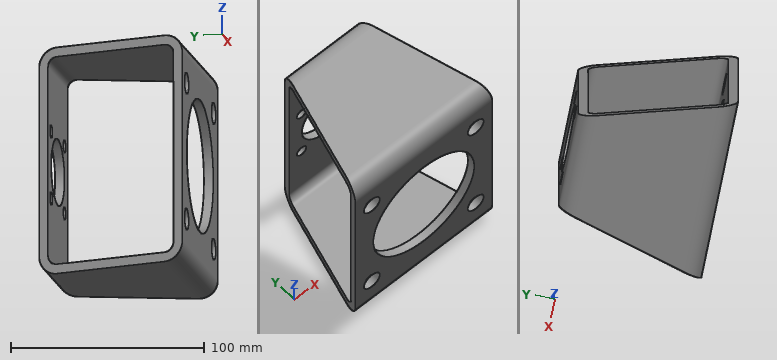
import cadquery as cq

DEPTH = 80.0
HEIGHT = 120.0
WALL = 5.0
OUTER_RADIUS = 10.0
INNER_RADIUS = OUTER_RADIUS - WALL

FRONT_WIDTH = 95.0
BACK_WIDTH = 50.0

FRONT_BORE = 70.0
FRONT_BOLT_HOLE = 11.0
FRONT_BOLT_SPACING = 72.0
BACK_BORE = 35.0
BACK_BOLT_HOLE = 6.5
BACK_BOLT_SPACING = 35.5

FRONT_FACE_Y = -DEPTH / 2
BACK_FACE_Y = DEPTH / 2


def rounded_bar(depth, height, radius):
    """Solid bar along X with its four long edges rounded."""
    return cq.Workplane("XY").box(FRONT_WIDTH, depth, height).edges("|X").fillet(radius)


def tube():
    outside = rounded_bar(DEPTH, HEIGHT, OUTER_RADIUS)
    inside = rounded_bar(DEPTH - 2 * WALL, HEIGHT - 2 * WALL, INNER_RADIUS)
    return outside.cut(inside)


def taper_envelope():
    """Upright trapezoidal prism that mitres both ends of the tube."""
    return (
        cq.Workplane("XY")
        .workplane(offset=-HEIGHT / 2)
        .moveTo(-FRONT_WIDTH / 2, FRONT_FACE_Y)
        .lineTo(FRONT_WIDTH / 2, FRONT_FACE_Y)
        .lineTo(BACK_WIDTH / 2, BACK_FACE_Y)
        .lineTo(-BACK_WIDTH / 2, BACK_FACE_Y)
        .close()
        .extrude(HEIGHT)
    )


def wall_cutter(outer_face_y, inward, bore, bolt_hole, bolt_spacing):
    """Bore and four bolt holes through one wall; inward is +1 or -1 along Y."""
    plane = cq.Workplane("XZ", origin=(0, outer_face_y, 0))
    length = -inward * WALL
    bolts = plane.rect(bolt_spacing, bolt_spacing, forConstruction=True).vertices()
    return plane.circle(bore / 2).extrude(length).union(bolts.circle(bolt_hole / 2).extrude(length))


front_holes = wall_cutter(FRONT_FACE_Y, 1, FRONT_BORE, FRONT_BOLT_HOLE, FRONT_BOLT_SPACING)
back_holes = wall_cutter(BACK_FACE_Y, -1, BACK_BORE, BACK_BOLT_HOLE, BACK_BOLT_SPACING)

result = tube().intersect(taper_envelope()).cut(front_holes).cut(back_holes)